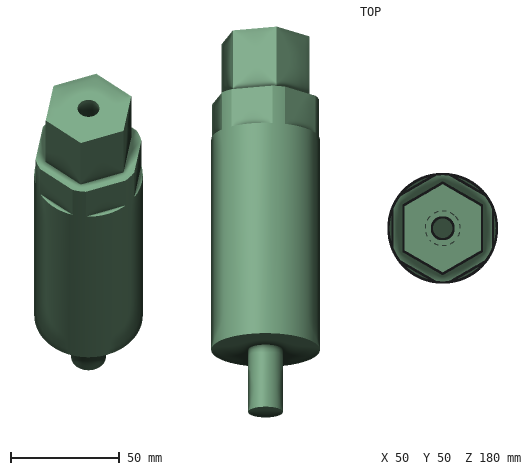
import cadquery as cq

total_height = 180.0
rod_length = 30.0
hex_height = 30.0
nut_height = hex_height / 2
neck_height = hex_height - nut_height
barrel_top = total_height - hex_height
barrel_height = barrel_top - rod_length

barrel_diameter = 50.0
rod_diameter = 16.0
hex_corner_diameter = 42.0
bore_diameter = 10.0

flat_count = 6
flat_height = 18.0
across_flats = 46.0


def hexagon(corner_diameter, base_z, height):
    """Hexagonal prism with two of its corners on the Y axis."""
    prism = cq.Workplane("XY").polygon(flat_count, corner_diameter).extrude(height)
    return prism.rotate((0, 0, 0), (0, 0, 1), 180 / flat_count).translate((0, 0, base_z))


def flat_cutter(index):
    """Block that removes the barrel material outside one wrench flat."""
    block = (
        cq.Workplane("XY", origin=(across_flats / 2, 0, barrel_top - flat_height))
        .box(barrel_diameter, barrel_diameter, flat_height, centered=(False, True, False))
    )
    return block.rotate((0, 0, 0), (0, 0, 1), index * 360 / flat_count)


def make_housing():
    """Barrel with a rod below it, wrench flats and a hexagonal neck."""
    rod = cq.Workplane("XY").circle(rod_diameter / 2).extrude(rod_length)
    barrel = (
        cq.Workplane("XY", origin=(0, 0, rod_length))
        .circle(barrel_diameter / 2)
        .extrude(barrel_height)
    )
    for index in range(flat_count):
        barrel = barrel.cut(flat_cutter(index))
    neck = hexagon(hex_corner_diameter, barrel_top, neck_height)
    return barrel.union(rod).union(neck)


def make_nut():
    """Hexagonal end nut with a through bore, resting on the neck."""
    nut = hexagon(hex_corner_diameter, barrel_top + neck_height, nut_height)
    return nut.faces(">Z").workplane(origin=(0, 0, 0)).hole(bore_diameter)


housing = make_housing()
nut = make_nut()
result = cq.Compound.makeCompound([housing.val(), nut.val()])